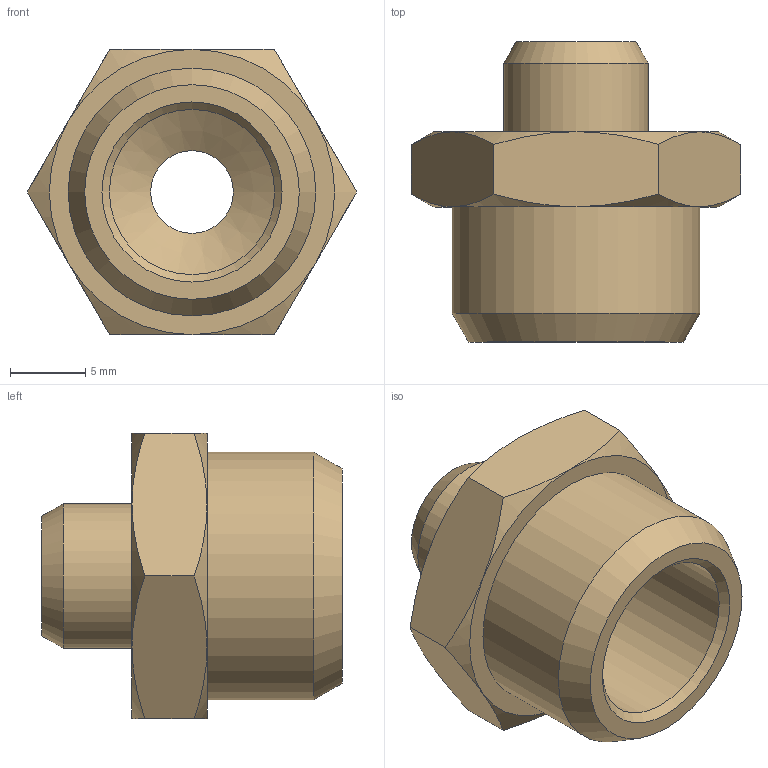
import cadquery as cq
import math


large_spigot_length = 9.0
hexagon_thickness = 5.0
small_spigot_length = 6.0
bore_depth = 11.0

large_spigot_diameter = 16.5
small_spigot_diameter = 9.63
across_flats = 19.0
hexagon_sides = 6
bore_diameter = 11.0
bore_mouth_diameter = 12.0
through_hole_diameter = 5.5

spigot_taper_angle = 30.0
large_taper_depth = 1.1
small_taper_depth = 0.825
mouth_taper_angle = 45.0
bore_floor_angle = 60.0
hexagon_chamfer_angle = 30.0

hexagon_start = 0.0
hexagon_end = hexagon_start + hexagon_thickness
large_end = hexagon_start - large_spigot_length
small_end = hexagon_end + small_spigot_length
across_corners = across_flats / math.cos(math.pi / hexagon_sides)


def tangent(angle):
    return math.tan(math.radians(angle))


def revolve_about_y(points):
    """Revolve a closed (radius, axial position) outline about the Y axis."""
    return cq.Workplane("XY").polyline(points).close().revolve(360, (0, 0, 0), (0, 1, 0))


def make_spigot(diameter, base, tip, taper_depth):
    """Solid spigot from base to tip, narrowed by taper_depth in radius at the tip."""
    radius = diameter / 2
    taper_length = taper_depth / tangent(spigot_taper_angle)
    direction = math.copysign(1, tip - base)
    return revolve_about_y([
        (0, base),
        (radius, base),
        (radius, tip - direction * taper_length),
        (radius - taper_depth, tip),
        (0, tip),
    ])


def make_hexagon():
    """Hexagon with corners on the X axis and conical chamfers on both faces."""
    prism = (
        cq.Workplane("XZ", origin=(0, hexagon_end, 0))
        .polygon(hexagon_sides, across_corners)
        .extrude(hexagon_thickness)
    )
    face_radius = across_flats / 2
    corner_radius = across_corners / 2
    chamfer_length = (corner_radius - face_radius) * tangent(hexagon_chamfer_angle)
    envelope = revolve_about_y([
        (0, hexagon_start),
        (face_radius, hexagon_start),
        (corner_radius, hexagon_start + chamfer_length),
        (corner_radius, hexagon_end - chamfer_length),
        (face_radius, hexagon_end),
        (0, hexagon_end),
    ])
    return prism.intersect(envelope)


def make_bore():
    """Bore with a tapered mouth, a conical floor and a through hole."""
    mouth_radius = bore_mouth_diameter / 2
    bore_radius = bore_diameter / 2
    hole_radius = through_hole_diameter / 2
    mouth_length = (mouth_radius - bore_radius) / tangent(mouth_taper_angle)
    floor_start = large_end + bore_depth
    floor_length = (bore_radius - hole_radius) / tangent(bore_floor_angle)
    return revolve_about_y([
        (0, large_end),
        (mouth_radius, large_end),
        (bore_radius, large_end + mouth_length),
        (bore_radius, floor_start),
        (hole_radius, floor_start + floor_length),
        (hole_radius, small_end),
        (0, small_end),
    ])


large_spigot = make_spigot(large_spigot_diameter, hexagon_start, large_end, large_taper_depth)
small_spigot = make_spigot(small_spigot_diameter, hexagon_end, small_end, small_taper_depth)

result = make_hexagon().union(large_spigot).union(small_spigot).cut(make_bore())